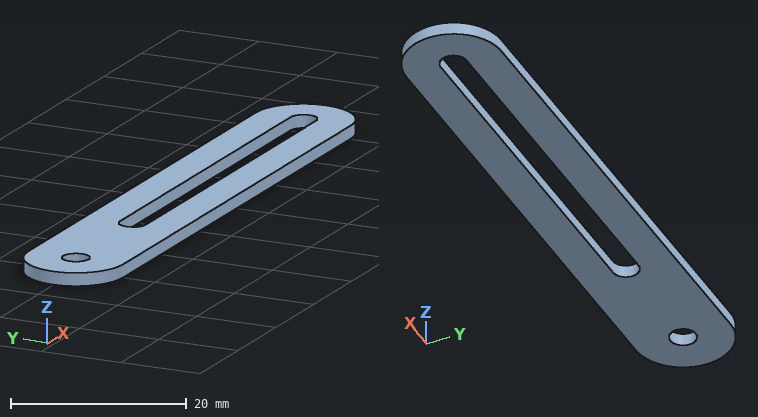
import cadquery as cq

length = 72.0
width = 12.0
thickness = 1.6
hole_diameter = 3.2
hole_to_slot = 15.0
slot_center_span = 45.1

hole_x = -(length - width) / 2
slot_middle_x = hole_x + hole_to_slot + slot_center_span / 2
slot_length = slot_center_span + hole_diameter


def make_bar():
    """Flat bar with fully rounded ends."""
    return cq.Workplane("XY").slot2D(length, width).extrude(thickness)


def cut_hole(body):
    """Round through hole near the -X end."""
    hole = cq.Workplane("XY").center(hole_x, 0).circle(hole_diameter / 2).extrude(thickness)
    return body.cut(hole)


def cut_slot(body):
    """Long through slot reaching toward the +X end."""
    slot = cq.Workplane("XY").center(slot_middle_x, 0).slot2D(slot_length, hole_diameter).extrude(thickness)
    return body.cut(slot)


result = cut_slot(cut_hole(make_bar()))